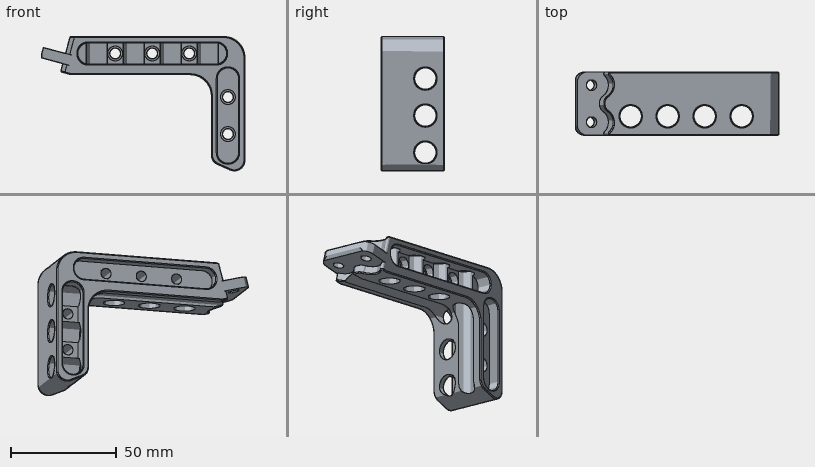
import cadquery as cq
import math

length = 96.0
width = 30.0
height = 63.5

beam_thickness = 18.0
leg_thickness = 15.8
elbow_radius = 10.0
foot_radius = 5.0
foot_angle = 24.0
edge_chamfer = 0.5

pitch = 17.5
big_diameter = 10.1
big_offset = 9.0
pin_diameter = 5.0
pin_seat_diameter = 7.0
pin_seat_depth = 4.0
pin_inset = 8.02
first_beam_hole_x = 26.0
first_leg_hole_z = 8.6
beam_hole_count = 4
leg_hole_count = 3

pocket_width = 10.1
deep_pocket = 8.0
shallow_pocket = 6.0
beam_pocket_start = 17.1
beam_pocket_end = 87.4

tab_tilt = 15.0
tab_thickness = 5.0
tab_corner_radius = 5.0
tab_root = 16.3
tab_hole_distance = 7.0
tab_top_z = 58.3
tab_nose_clip = 0.5
wall_distance = 10.8
wall_above_tab = 11.5
lip_below_tab = 4.0
scallop_radius = 6.3
scallop_distance = 8.8
scallop_blend_radius = 4.0
wall_corner_radius = 1.0

tilt = math.radians(tab_tilt)
leg_face_x = length - leg_thickness
beam_bottom_z = height - beam_thickness
beam_pin_z = height - pin_inset
leg_pin_x = length - pin_inset
scallop_ys = [width / 2 - pitch / 2, width / 2 + pitch / 2]

tab_origin_z = tab_top_z - tab_thickness * math.cos(tilt)
tab_plane = cq.Plane(
    origin=(-tab_nose_clip, 0, tab_origin_z),
    xDir=(math.cos(tilt), 0, -math.sin(tilt)),
    normal=(math.sin(tilt), 0, math.cos(tilt)),
)


def tab_point(along, above):
    """X and Z of a point given along the tab and above its lower face."""
    x = -tab_nose_clip + along * math.cos(tilt) + above * math.sin(tilt)
    z = tab_origin_z - along * math.sin(tilt) + above * math.cos(tilt)
    return x, z


def bracket_outline():
    """Corners of the L profile in X and Z before rounding."""
    slope = math.tan(math.radians(foot_angle))
    toe_x = length - foot_radius
    toe_line_z = foot_radius - foot_radius / math.cos(math.radians(foot_angle))
    toe_corner = (length, toe_line_z - slope * (length - toe_x))
    heel_corner = (leg_face_x, toe_line_z + slope * (toe_x - leg_face_x))

    lip_corner = tab_point(wall_distance, -lip_below_tab)
    lip_run = (lip_corner[1] - beam_bottom_z) / math.tan(tilt)
    lip_end = (lip_corner[0] + lip_run, beam_bottom_z)
    lean = (height - lip_corner[1]) * math.tan(tilt)
    wall_top = (lip_corner[0] + lean, height)
    return [
        lip_corner,
        lip_end,
        (leg_face_x, beam_bottom_z),
        heel_corner,
        toe_corner,
        (length, height),
        wall_top,
    ]


def near_edges(body, x, z):
    """Edges along Y that pass close to the given X and Z."""
    reach = 0.1
    box = cq.selectors.BoxSelector((x - reach, 0, z - reach), (x + reach, width, z + reach))
    return body.edges("|Y").edges(box)


def make_body():
    """L-shaped block with rounded elbow and foot."""
    outline = bracket_outline()
    body = cq.Workplane("XZ").polyline(outline).close().extrude(-width)
    inner, heel, toe, outer = outline[2:6]
    roundings = [(inner, elbow_radius), (heel, foot_radius), (toe, foot_radius), (outer, elbow_radius)]
    for corner, radius in roundings:
        body = near_edges(body, *corner).fillet(radius)
    return body


def on_circle(center, toward, radius):
    """Point of a circle that lies in the direction of another point."""
    reach = math.dist(center, toward)
    return tuple(c + (t - c) * radius / reach for c, t in zip(center, toward))


def scallop_cutter():
    """Space in front of the scalloped wall, extruded across the whole end of the beam."""
    scallop = (scallop_distance, scallop_ys[0])

    ridge_x = wall_distance + scallop_blend_radius
    ridge_reach = math.sqrt((scallop_radius + scallop_blend_radius) ** 2 - (ridge_x - scallop_distance) ** 2)
    ridge = (ridge_x, scallop[1] + ridge_reach)
    corner_reach = math.sqrt((scallop_radius + wall_corner_radius) ** 2 - (scallop[1] - wall_corner_radius) ** 2)
    corner = (scallop_distance + corner_reach, wall_corner_radius)

    side_end = (corner[0], 0)
    corner_joint = on_circle(corner, scallop, wall_corner_radius)
    corner_middle = on_circle(
        corner, ((side_end[0] + corner_joint[0]) / 2, (side_end[1] + corner_joint[1]) / 2), wall_corner_radius
    )
    scallop_bottom = (scallop_distance + scallop_radius, scallop[1])
    ridge_joint = on_circle(ridge, scallop, scallop_blend_radius)
    crest = (wall_distance, ridge[1])
    ridge_middle = on_circle(
        ridge, ((crest[0] + ridge_joint[0]) / 2, (crest[1] + ridge_joint[1]) / 2), scallop_blend_radius
    )

    def mirrored(point):
        return (point[0], width - point[1])

    return (
        cq.Workplane(tab_plane)
        .workplane(offset=-wall_above_tab)
        .moveTo(-wall_distance, -wall_distance)
        .lineTo(side_end[0], -wall_distance)
        .lineTo(*side_end)
        .threePointArc(corner_middle, corner_joint)
        .threePointArc(scallop_bottom, ridge_joint)
        .threePointArc(ridge_middle, crest)
        .lineTo(*mirrored(crest))
        .threePointArc(mirrored(ridge_middle), mirrored(ridge_joint))
        .threePointArc(mirrored(scallop_bottom), mirrored(corner_joint))
        .threePointArc(mirrored(corner_middle), mirrored(side_end))
        .lineTo(side_end[0], width + wall_distance)
        .lineTo(-wall_distance, width + wall_distance)
        .close()
        .extrude(3 * wall_above_tab)
    )


def chamfer_outline(body):
    """Break the rims of both sides; the chamfer runs on along the scalloped rims, which are tangent."""
    upright = cq.selectors.ParallelDirSelector(tab_plane.zDir)
    return body.faces("<Y or >Y").edges(cq.selectors.InverseSelector(upright)).chamfer(edge_chamfer)


def make_tab():
    """Tilted tab with two holes, its nose trimmed upright at X = 0."""
    tab_middle = tab_root / 2
    tab = (
        cq.Workplane(tab_plane)
        .center(tab_middle, width / 2)
        .rect(tab_root, width)
        .extrude(tab_thickness)
    )
    nose = tab.edges(cq.selectors.ParallelDirSelector(tab_plane.zDir)).edges("<X")
    tab = nose.fillet(tab_corner_radius)
    holes = (
        cq.Workplane(tab_plane)
        .pushPoints([(tab_hole_distance, y) for y in scallop_ys])
        .circle(pin_diameter / 2)
        .extrude(tab_thickness)
    )
    envelope = cq.Workplane("XY").box(length, width, height, centered=False)
    return tab.cut(holes).intersect(envelope)


def pocket(center_x, center_z, overall, turn, side_y, depth):
    """Round-ended pocket cutter; a positive depth runs toward +Y from the given side."""
    mouth = cq.Workplane("XZ", origin=(center_x, side_y, center_z))
    return mouth.slot2D(overall, pocket_width, turn).extrude(-depth)


def cut_pockets(body):
    """Pockets along the beam and down the leg, in both sides."""
    beam_middle = (beam_pocket_start + beam_pocket_end) / 2
    beam_overall = beam_pocket_end - beam_pocket_start
    leg_span = pitch * (leg_hole_count - 1)
    leg_middle = first_leg_hole_z + leg_span / 2
    leg_overall = leg_span + pocket_width

    body = body.cut(pocket(beam_middle, beam_pin_z, beam_overall, 0, 0, deep_pocket))
    body = body.cut(pocket(beam_middle, beam_pin_z, beam_overall, 0, width, -shallow_pocket))
    body = body.cut(pocket(leg_pin_x, leg_middle, leg_overall, 90, 0, shallow_pocket))
    return body.cut(pocket(leg_pin_x, leg_middle, leg_overall, 90, width, -deep_pocket))


def cut_big_holes(body):
    """Large through holes: vertical along the beam, and along X through the leg and under the beam."""
    radius = big_diameter / 2
    for index in range(beam_hole_count):
        top = (first_beam_hole_x + index * pitch, big_offset, height)
        plane = cq.Plane(origin=top, xDir=(1, 0, 0), normal=(0, 0, 1))
        body = body.cut(cq.Workplane(plane).circle(radius).extrude(-height))
        body = body.cut(rim_cone(plane))
    for index in range(leg_hole_count):
        end = (length, width - big_offset, first_leg_hole_z + index * pitch)
        plane = cq.Plane(origin=end, xDir=(0, 1, 0), normal=(1, 0, 0))
        body = body.cut(cq.Workplane(plane).circle(radius).extrude(-length))
        body = body.cut(rim_cone(plane))
    return body


def rim_cone(plane):
    """Chamfer cone for the mouth of a large hole."""
    mouth = cq.Workplane(plane).circle(big_diameter / 2 + edge_chamfer)
    return mouth.extrude(-edge_chamfer, taper=45)


def cut_pins(body, points, floor_depth):
    """Seated small holes along Y from a pocket floor through to the far side."""
    pins = cq.Workplane("XZ").pushPoints(points)
    holes = pins.circle(pin_diameter / 2).extrude(-width)
    seats = pins.circle(pin_seat_diameter / 2).extrude(-floor_depth - pin_seat_depth)
    return body.cut(holes).cut(seats)


def cut_pin_holes(body):
    """Small holes midway between the large ones."""
    beam_pins = [
        (first_beam_hole_x + (index + 0.5) * pitch, beam_pin_z) for index in range(beam_hole_count - 1)
    ]
    leg_pins = [
        (leg_pin_x, first_leg_hole_z + (index + 0.5) * pitch) for index in range(leg_hole_count - 1)
    ]
    body = cut_pins(body, beam_pins, deep_pocket)
    return cut_pins(body, leg_pins, shallow_pocket)


body = make_body().cut(scallop_cutter())
body = cut_pockets(body)
body = chamfer_outline(body).union(make_tab())
body = cut_big_holes(body)
result = cut_pin_holes(body)